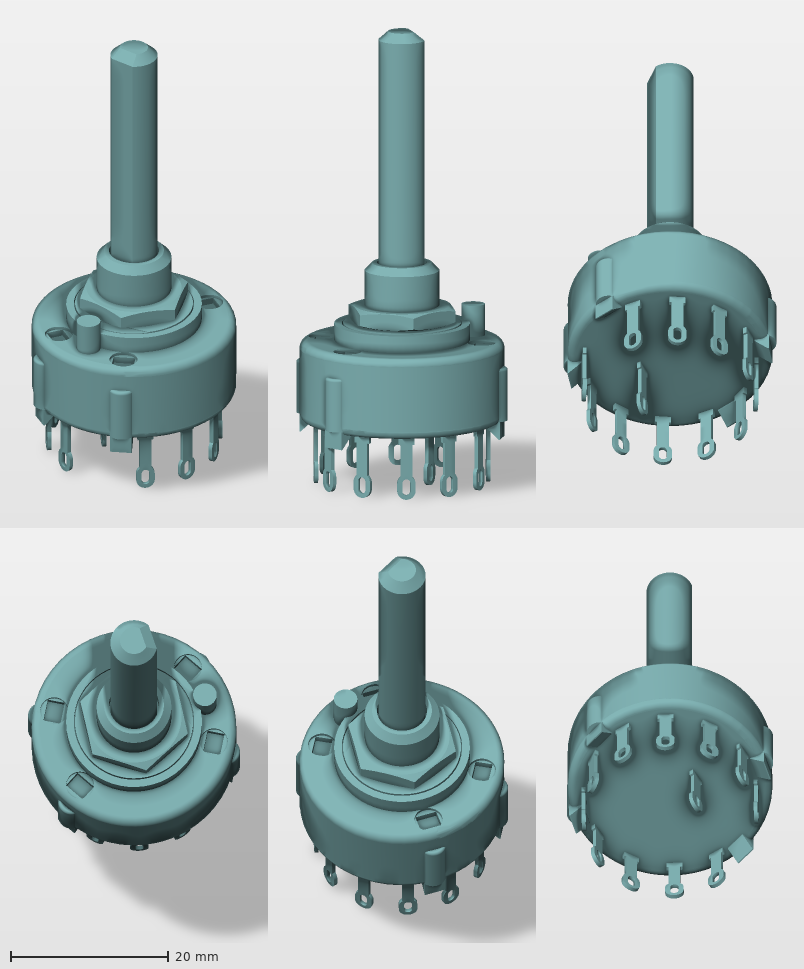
import cadquery as cq

housing_diameter = 26.0
housing_height = 10.4
housing_round = 1.0

collar_diameter = 17.25
collar_height = 2.15
washer_pocket_diameter = 15.3
washer_pocket_depth = 0.5
washer_diameter = 15.0
washer_proud = 0.1
washer_step_distance = 5.9
washer_step_angle = -76.7

bushing_diameter = 9.5
bushing_height = 10.0
bushing_chamfer = 0.95
bushing_bore_diameter = 6.35
bushing_bore_depth = 2.0
nut_sides = 6
nut_across_corners = 14.3
nut_height = 2.2
nut_gap = 0.15
nut_face_diameter = 12.1
nut_chamfer_height = 0.4
nut_turn = -6.0

shaft_diameter = 6.0
shaft_length = 30.0
shaft_flat_distance = 2.5
shaft_tip_diameter = 3.55
shaft_tip_flat_distance = 1.2
shaft_tip_height = 1.1

post_diameter = 3.0
post_offset = 9.5
post_height = 4.05

clip_angles = (60, 120, 240, 300)
clip_width = 2.8
window_diameter = 3.55
window_radius = 10.35
window_recess_depth = 0.4
pocket_length = 2.2
pocket_depth = 1.25
rib_radius = 1.65
rib_center_radius = 12.05
rib_bottom = 0.5
rib_top = 7.35
rib_round = 0.35
lug_face_radius = housing_diameter / 2
lug_drop = 1.8
lug_foot = 0.15
lug_slope_top = -0.2
lug_slope_depth = 1.85

terminal_places = 12
empty_terminal_angle = 285
terminal_radius = 10.95
common_terminal_radius = 3.9
common_terminal_angle = 225
terminal_length = 8.1
terminal_thickness = 0.5
terminal_root = 0.5
shoulder_width = 2.05
shoulder_drop = 1.0
stem_width = 1.5
eye_width = 2.35
eye_length = 3.2
eye_slot_width = 1.0
eye_slot_length = 2.1

collar_top = housing_height + collar_height
bushing_top = housing_height + bushing_height
shaft_top = bushing_top + shaft_length


def disc(diameter, bottom, top):
    """Upright cylinder on the Z axis between two heights."""
    return cq.Workplane("XY").workplane(offset=bottom).circle(diameter / 2).extrude(top - bottom)


def frustum(bottom_diameter, top_diameter, bottom, top):
    """Upright cone section on the Z axis between two heights."""
    cone = cq.Solid.makeCone(bottom_diameter / 2, top_diameter / 2, top - bottom)
    return cq.Workplane("XY").add(cone).translate((0, 0, bottom))


def place_radially(body, angle):
    """Turn a body built on the +X axis to its angle about Z."""
    return body.rotate((0, 0, 0), (0, 0, 1), angle)


def make_housing():
    housing = disc(housing_diameter, 0, housing_height).edges().fillet(housing_round)
    collar = disc(collar_diameter, housing_height - housing_round, collar_top)
    pocket = disc(washer_pocket_diameter, collar_top - washer_pocket_depth, collar_top)
    washer = disc(washer_diameter, collar_top - washer_pocket_depth, collar_top + washer_proud)
    lowered_segment = cq.Workplane("XY").box(
        washer_diameter, washer_diameter, washer_proud, centered=(False, True, False)
    ).translate((washer_step_distance, 0, collar_top))
    washer = washer.cut(place_radially(lowered_segment, washer_step_angle))
    return housing.union(collar).cut(pocket).union(washer)


def make_bushing():
    bushing = disc(bushing_diameter, housing_height, bushing_top)
    bushing = bushing.faces(">Z").chamfer(bushing_chamfer)
    bore = disc(bushing_bore_diameter, bushing_top - bushing_bore_depth, bushing_top)
    return bushing.cut(bore)


def make_nut():
    """Hexagon nut whose corners are turned off conically on both faces."""
    bottom = collar_top + nut_gap
    hexagon = (
        cq.Workplane("XY")
        .workplane(offset=bottom)
        .polygon(nut_sides, nut_across_corners)
        .extrude(nut_height)
        .rotate((0, 0, 0), (0, 0, 1), nut_turn)
    )
    top = bottom + nut_height
    lower_edge = bottom + nut_chamfer_height
    upper_edge = top - nut_chamfer_height
    turned = disc(nut_across_corners, lower_edge, upper_edge)
    turned = turned.union(frustum(nut_face_diameter, nut_across_corners, bottom, lower_edge))
    turned = turned.union(frustum(nut_across_corners, nut_face_diameter, upper_edge, top))
    neck = disc(nut_face_diameter, collar_top, bottom)
    return hexagon.intersect(turned).union(neck)


def make_shaft():
    """Round shaft with a conical tip; the flat slopes in along the tip as well."""
    shoulder = shaft_top - shaft_tip_height
    bottom = bushing_top - bushing_bore_depth
    shaft = disc(shaft_diameter, bottom, shoulder)
    shaft = shaft.union(frustum(shaft_diameter, shaft_tip_diameter, shoulder, shaft_top))
    flat_cutter = (
        cq.Workplane("YZ")
        .moveTo(-shaft_diameter, bottom)
        .lineTo(-shaft_flat_distance, bottom)
        .lineTo(-shaft_flat_distance, shoulder)
        .lineTo(-shaft_tip_flat_distance, shaft_top)
        .lineTo(-shaft_diameter, shaft_top)
        .close()
        .extrude(shaft_diameter, both=True)
    )
    return shaft.cut(flat_cutter)


def make_post():
    post = disc(post_diameter, housing_height - housing_round, housing_height + post_height)
    return post.translate((0, -post_offset, 0))


def make_window():
    """Cutter for one clip window: shallow round recess with a deeper rectangular pocket."""
    recess = disc(window_diameter, housing_height - window_recess_depth, housing_height)
    pocket = cq.Workplane("XY").box(
        pocket_length, clip_width, pocket_depth, centered=(True, True, False)
    ).translate((0, 0, housing_height - pocket_depth))
    outline = disc(window_diameter, housing_height - pocket_depth, housing_height)
    return recess.union(pocket.intersect(outline)).translate((window_radius, 0, 0))


def make_rib():
    rib = disc(2 * rib_radius, rib_bottom, rib_top).faces(">Z").edges().fillet(rib_round)
    return rib.translate((rib_center_radius, 0, 0))


def make_lug():
    """Lug under the rib: flat outer face, inner face sloping down and outwards."""
    inner_top = lug_face_radius - lug_slope_depth
    return (
        cq.Workplane("XZ")
        .moveTo(lug_face_radius, rib_bottom)
        .lineTo(lug_face_radius, -lug_drop)
        .lineTo(lug_face_radius - lug_foot, -lug_drop)
        .lineTo(inner_top, lug_slope_top)
        .lineTo(inner_top, rib_bottom)
        .close()
        .extrude(clip_width / 2, both=True)
    )


def terminal_plate(width, length, center_height):
    """Flat upright plate of terminal stock facing outwards."""
    return (
        cq.Workplane("XY")
        .box(terminal_thickness, width, length)
        .translate((0, 0, center_height))
    )


def make_terminal(radius, angle):
    """Terminal with a square shoulder, a narrow stem and a slotted eye."""
    eye_center = eye_length / 2 - terminal_length
    shoulder_length = shoulder_drop + terminal_root
    shoulder = terminal_plate(shoulder_width, shoulder_length, (terminal_root - shoulder_drop) / 2)
    stem = terminal_plate(stem_width, -eye_center, eye_center / 2)
    eye_plane = cq.Workplane("YZ", origin=(0, 0, eye_center))
    eye = eye_plane.slot2D(eye_length, eye_width, 90).extrude(terminal_thickness / 2, both=True)
    slot = eye_plane.slot2D(eye_slot_length, eye_slot_width, 90).extrude(terminal_thickness, both=True)
    terminal = shoulder.union(stem).union(eye).cut(slot)
    return place_radially(terminal.translate((radius, 0, 0)), angle)


def make_switch():
    switch = make_housing()
    for part in (make_bushing(), make_nut(), make_shaft(), make_post()):
        switch = switch.union(part)
    for angle in clip_angles:
        switch = switch.cut(place_radially(make_window(), angle))
        switch = switch.union(place_radially(make_rib(), angle))
        switch = switch.union(place_radially(make_lug(), angle))
    pitch = 360 / terminal_places
    for place in range(terminal_places):
        angle = (place + 0.5) * pitch
        if angle != empty_terminal_angle:
            switch = switch.union(make_terminal(terminal_radius, angle))
    common = make_terminal(common_terminal_radius, common_terminal_angle)
    return switch.union(common)


result = make_switch()